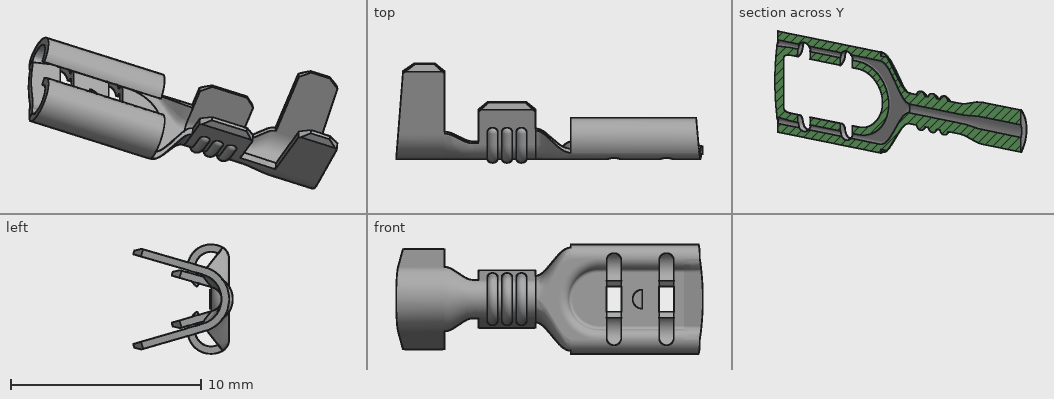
import cadquery as cq
import math

sheet = 0.4
clearance = 0.16

insulation_end = 2.55
wire_start = 4.32
wire_end = 7.34
body_start = 9.18
body_end = 15.97
overall_length = 16.13

leg_lean = 16.2
bend_angle = 90 - leg_lean
sin_lean = math.sin(math.radians(leg_lean))
cos_lean = math.cos(math.radians(leg_lean))
leg_overlap = 0.02
tip_land = 0.21
bevel_height = 0.45
chamfer_drop = 0.1
tip_chamfer = 0.52

insulation_radius = 1.75
insulation_height = 5.05
insulation_edge_lean = 4.5
insulation_tip_start = 0.97

wire_radius = 1.03
wire_height = 3.03

bead_height = 0.2
bead_root = 0.08
bead_width = 0.56
bead_leg_length = 0.68
bead_pitch = 0.76
bead_count = 3

neck_end = 4.03
neck_lip = 0.1
shoulder_lip = 0.8
shoulder_end_lip = 0.008
narrow_flat = 0.003
section_count = 6

floor_half_width = 2.11
corner_radius = 0.71
corner_angle = 58.5
roll_radius = 1.25
roll_centre = (0.95, 1.65)
roll_last_angle = 233.0
roll_end_lean = 5.0

panel_rise = 0.55
panel_half_width = 1.4
outer_bend_share = 0.73
panel_centre = 10.68
lead_in_start = 15.13
lead_in_rise = 0.27
nose_side_setback = 0.16

slot_width = 0.77
slot_half_length = 2.42
slot_starts = (11.07, 13.82)
slot_depth = 1.13

dimple_radius = 0.5
dimple_edge = 12.94
dimple_depth = 0.06


def both_sides(solid):
    return solid.union(solid.mirror("XY"))


def trough_section(flat, radius, angle, lip):
    """(y, z) outline of a trough: flat floor, two bends and two straight lips."""

    def side(bend_radius):
        def at(degrees):
            turn = math.radians(degrees)
            return radius - bend_radius * math.cos(turn), flat + bend_radius * math.sin(turn)

        y_end, z_end = at(angle)
        turn = math.radians(angle)
        lip_end = (y_end + lip * math.sin(turn), z_end + lip * math.cos(turn))
        return at(0), at(angle / 2), at(angle), lip_end

    def flip(point):
        return point[0], -point[1]

    def surface(path, points):
        """Continue the path from the lip on the negative side to the lip on the positive side."""
        start, middle, bend_end, lip_end = points
        path = path.lineTo(*flip(bend_end))
        if flat > 0:
            path = path.threePointArc(flip(middle), flip(start)).lineTo(*start)
            return path.threePointArc(middle, bend_end).lineTo(*lip_end)
        return path.threePointArc((start[0], 0), bend_end).lineTo(*lip_end)

    outer = side(radius)
    inner = side(radius - sheet)
    path = surface(cq.Workplane("YZ").moveTo(*flip(outer[3])), outer)
    path = path.lineTo(*inner[3])
    inner_back = [flip(point) for point in inner]
    return surface(path, inner_back).close()


def transition(x_start, x_end, start_shape, end_shape):
    """Smooth loft between two troughs, each (flat, radius, angle, lip)."""
    wires = []
    for i in range(section_count):
        part = i / (section_count - 1)
        blend = part * part * (3 - 2 * part)
        shape = [a + blend * (b - a) for a, b in zip(start_shape, end_shape)]
        x = x_start + part * (x_end - x_start)
        wires.append(trough_section(*shape).val().translate(cq.Vector(x, 0, 0)))
    return cq.Workplane(cq.Solid.makeLoft(wires))


def leg_root(radius):
    """(y, z) where the outer face of a leg leaves the bend."""
    return radius * (1 - sin_lean), radius * cos_lean


def crimp(x_start, x_end, radius, height, tip_start, chamfer_x):
    """Curved floor with two leaning legs whose tips are chamfered and bevelled."""
    root_y, root_z = leg_root(radius)
    length = (height - root_y - sheet * sin_lean) / cos_lean
    bevel_start = length - bevel_height + sheet * sin_lean
    chamfer_start = bevel_start - chamfer_drop
    origin = (0, root_y, root_z)

    face = (
        cq.Workplane(cq.Plane(origin, (1, 0, 0), (0, -sin_lean, cos_lean)))
        .polyline([
            (x_start, 0), (x_end, 0), (x_end, chamfer_start), (x_end - tip_chamfer, length),
            (tip_start, length), (chamfer_x, chamfer_start),
        ])
        .close().extrude(-sheet)
    )
    profile = (
        cq.Workplane(cq.Plane(origin, (0, cos_lean, sin_lean), (1, 0, 0)))
        .polyline([
            (0, 0), (bevel_start, 0), (length, tip_land - sheet), (length, -sheet), (0, -sheet),
        ])
        .close().extrude(x_end)
    )
    leg = face.intersect(profile)
    floor = trough_section(0, radius, bend_angle, leg_overlap).extrude(x_end - x_start)
    return floor.translate((x_start, 0, 0)).union(both_sides(leg))


def insulation_crimp():
    """Tall crimp whose open end leans back over its whole height."""
    edge_slope = math.tan(math.radians(insulation_edge_lean))
    chamfer_x = (insulation_height - bevel_height - chamfer_drop) * edge_slope
    solid = crimp(
        0, insulation_end, insulation_radius, insulation_height, insulation_tip_start, chamfer_x
    )
    top = insulation_height + clearance
    wedge = (
        cq.Workplane("XY")
        .polyline([(0, 0), (top * edge_slope, top), (-clearance, top), (-clearance, 0)]).close()
        .extrude(2 * insulation_height, both=True)
    )
    return solid.cut(wedge)


def bead_profile(plane):
    """Crowned bead section, standing out of the sheet towards local -Y."""
    half = bead_width / 2
    return (
        plane.moveTo(-half, 0).threePointArc((0, -bead_height), (half, 0))
        .lineTo(half, bead_root).lineTo(-half, bead_root).close()
    )


def bead(x):
    """Half-round bead around the floor and part way up both legs, with domed ends."""
    half = bead_width / 2
    crown_radius = (half**2 + bead_height**2) / (2 * bead_height)
    quarter_height = math.sqrt(crown_radius**2 - (half / 2) ** 2) - crown_radius + bead_height
    around = bead_profile(cq.Workplane("XY")).revolve(
        2 * bend_angle, (0, wire_radius, 0), (1, wire_radius, 0)
    ).rotate((0, wire_radius, 0), (1, wire_radius, 0), -bend_angle)
    root_y, root_z = leg_root(wire_radius)
    along = cq.Plane((0, root_y, root_z), (1, 0, 0), (0, cos_lean, sin_lean))
    leg = bead_profile(cq.Workplane(along)).extrude(bead_leg_length)
    end = cq.Workplane(along).workplane(offset=bead_leg_length)
    dome = (
        end.moveTo(0, bead_root).lineTo(0, -bead_height)
        .threePointArc((half / 2, -quarter_height), (half, 0))
        .lineTo(half, bead_root).close().revolve(360, (0, 0, 0), (0, 1, 0))
    )
    return around.union(both_sides(leg.union(dome))).translate((x, 0, 0))


def rolls():
    """Both rolled edges of the receptacle, ending on a slightly leaning face."""
    corner_centre = (corner_radius, floor_half_width)

    def at(centre, radius, degrees):
        a = math.radians(degrees)
        return centre[0] - radius * math.cos(a), centre[1] + radius * math.sin(a)

    last = roll_last_angle
    middle = (corner_angle + last) / 2
    outline = (
        cq.Workplane("YZ").moveTo(*at(corner_centre, corner_radius, 0))
        .threePointArc(at(corner_centre, corner_radius, corner_angle / 2),
                       at(corner_centre, corner_radius, corner_angle))
        .threePointArc(at(roll_centre, roll_radius, middle), at(roll_centre, roll_radius, last))
        .lineTo(*at(roll_centre, roll_radius - sheet, last))
        .threePointArc(at(roll_centre, roll_radius - sheet, middle),
                       at(corner_centre, corner_radius - sheet, corner_angle))
        .threePointArc(at(corner_centre, corner_radius - sheet, corner_angle / 2),
                       at(corner_centre, corner_radius - sheet, 0))
        .close()
    )
    roll = outline.extrude(body_end - body_start).translate((body_start, 0, 0))
    top = 2 * (roll_centre[0] + roll_radius)
    trim = (
        cq.Workplane("XY")
        .polyline([
            (body_end, 0), (body_end + clearance, 0), (body_end + clearance, top),
            (body_end - top * math.tan(math.radians(roll_end_lean)), top),
        ])
        .close().extrude(floor_half_width + 2 * roll_radius)
    )
    return both_sides(roll.cut(trim))


def panel_edge(rise, lift):
    """(width, height) points of the S-shaped slope from the floor up to the panel.

    A lift of one sheet thickness gives the parallel inner surface.
    """
    run = floor_half_width - panel_half_width
    steepest = 2 * math.atan2(rise, run)
    total_radius = run / math.sin(steepest)
    outer = total_radius * outer_bend_share - lift
    inner = total_radius - outer

    def bend(radius, angle):
        return radius * math.sin(angle), radius * (1 - math.cos(angle))

    points = [(floor_half_width, lift)]
    for angle in (steepest / 2, steepest):
        across_step, up_step = bend(outer, angle)
        points.append((floor_half_width - across_step, lift + up_step))
    for angle in (steepest / 2, 0):
        across_step, up_step = bend(inner, angle)
        points.append((panel_half_width + across_step, lift + rise - up_step))
    return points


def panel_section(plane, rise, full_width):
    """Section of the panel and its slopes; the full width, or only the half at negative width."""
    low = panel_edge(rise, 0)
    high = panel_edge(rise, sheet)
    left_low = [(-w, h) for w, h in low]
    left_high = [(-w, h) for w, h in high]

    def slope(path, points):
        return path.threePointArc(points[1], points[2]).threePointArc(points[3], points[4])

    path = slope(plane.moveTo(*left_low[0]), left_low)
    if full_width:
        path = slope(path.lineTo(*low[4]), low[::-1])
        path = slope(path.lineTo(*high[0]), high)
    else:
        path = path.lineTo(0, rise).lineTo(0, rise + sheet)
    return slope(path.lineTo(*left_high[4]), left_high[::-1]).close()


def across(x):
    """Plane across the terminal at x, with local axes along Z and Y."""
    return cq.Plane((x, 0, 0), (0, 0, -1), (1, 0, 0))


def floor_panel():
    """Raised panel with a round inner end and a lead-in dropping towards a curved nose."""
    round_end = panel_section(cq.Workplane(across(panel_centre)), panel_rise, False).revolve(
        180, (0, 0, 0), (0, -1, 0)
    )
    straight = panel_section(cq.Workplane(across(panel_centre)), panel_rise, True).extrude(
        lead_in_start - panel_centre
    )
    lead_in = cq.Workplane(cq.Solid.makeLoft([
        panel_section(cq.Workplane(across(lead_in_start)), panel_rise, True).val(),
        panel_section(cq.Workplane(across(overall_length)), lead_in_rise, True).val(),
    ], True))
    nose = (
        cq.Workplane("XZ").moveTo(overall_length - nose_side_setback, -floor_half_width)
        .threePointArc((overall_length, 0),
                       (overall_length - nose_side_setback, floor_half_width))
        .lineTo(panel_centre, floor_half_width).lineTo(panel_centre, -floor_half_width).close()
        .extrude(-2 * panel_rise - sheet)
    )
    return round_end.union(straight).union(lead_in.intersect(nose))


def slots():
    tool = cq.Workplane("XY")
    for x in slot_starts:
        tool = tool.union(
            cq.Workplane("XZ").center(x + slot_width / 2, 0)
            .slot2D(2 * slot_half_length, slot_width, 90).extrude(-slot_depth)
        )
    return tool


def half_disc(y):
    """Half-round plate with its lower face at height y."""
    return (
        cq.Workplane("XZ", (0, y, 0)).moveTo(dimple_edge, -dimple_radius)
        .threePointArc((dimple_edge - dimple_radius, 0), (dimple_edge, dimple_radius)).close()
        .extrude(-dimple_depth)
    )


neck = transition(
    insulation_end, neck_end,
    (0, insulation_radius, bend_angle, neck_lip),
    (0, wire_radius, bend_angle, neck_lip),
)
neck_section = trough_section(0, wire_radius, bend_angle, neck_lip)
neck = neck.union(neck_section.extrude(wire_start - neck_end).translate((neck_end, 0, 0)))
shoulder = transition(
    wire_end, body_start,
    (narrow_flat, wire_radius, bend_angle, shoulder_lip),
    (floor_half_width, corner_radius, corner_angle, shoulder_end_lip),
)
flat_floor = cq.Workplane("XY").box(
    panel_centre - body_start, sheet, 2 * floor_half_width, centered=(False, False, True)
).translate((body_start, 0, 0))
panel_opening = (
    cq.Workplane("XZ").center(panel_centre, 0).circle(floor_half_width).extrude(-slot_depth)
)

result = insulation_crimp().union(neck)
result = result.union(crimp(wire_start, wire_end, wire_radius, wire_height,
                            wire_start + tip_chamfer, wire_start))
first_bead = (wire_start + wire_end) / 2 - bead_pitch
for i in range(bead_count):
    result = result.union(bead(first_bead + i * bead_pitch))

receptacle = shoulder.union(flat_floor).cut(panel_opening).union(rolls()).union(floor_panel())
receptacle = receptacle.cut(slots())
result = result.union(receptacle)
result = result.union(half_disc(panel_rise + sheet)).cut(half_disc(panel_rise))